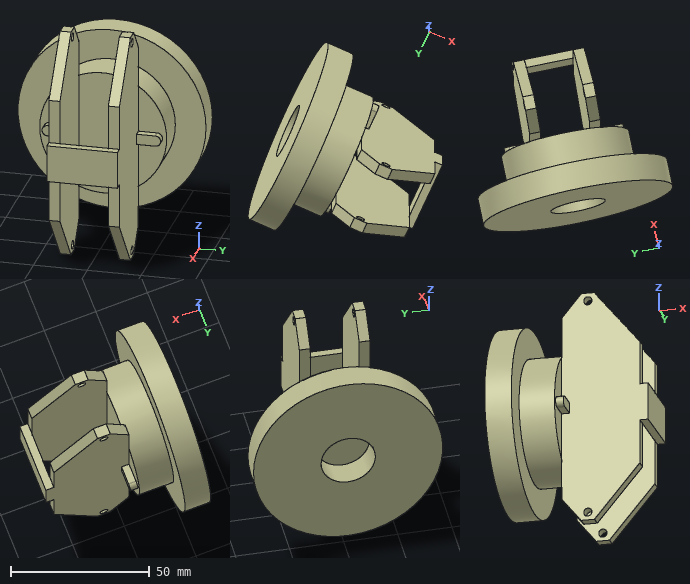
import cadquery as cq

overall_length = 55.43
flange_diameter = 70.0
flange_thickness = 10.0
hub_diameter = 47.2
hub_length = 13.2
bore_diameter = 20.0
bore_depth = 10.0

plate_height = 87.62
plate_thickness = 4.1
plate_outer_width = 26.2
plate_root_half_height = flange_diameter / 2
plate_tip_start = 7.25
plate_tip_length = 5.0
pin_hole_diameter = 3.0
pin_hole_edge_distance = 3.0

bar_thickness = 3.1
bar_height = 14.0

tongue_length = 44.1
tongue_width = 4.0
tongue_height = 2.9

hub_face_x = flange_thickness + hub_length
plate_end_x = overall_length - bar_thickness
plate_half_height = plate_height / 2
plate_end_half_height = hub_diameter / 2
tip_start_x = hub_face_x + plate_tip_start
tip_end_x = tip_start_x + plate_tip_length
pin_hole_x = (tip_start_x + tip_end_x) / 2
pin_hole_z = plate_half_height - pin_hole_edge_distance
plate_gap = plate_outer_width - 2 * plate_thickness


def make_body():
    """Flange and hub with a blind bore in the flange face."""
    flange = cq.Workplane("YZ").circle(flange_diameter / 2).extrude(flange_thickness)
    hub = (
        cq.Workplane("YZ")
        .workplane(offset=flange_thickness)
        .circle(hub_diameter / 2)
        .extrude(hub_length)
    )
    bore = cq.Workplane("YZ").circle(bore_diameter / 2).extrude(bore_depth)
    return flange.union(hub).cut(bore)


def make_plate(outer_y):
    """Eight-sided plate with two pin holes, reaching from outer_y towards -Y."""
    upper_half = [
        (hub_face_x, plate_root_half_height),
        (tip_start_x, plate_half_height),
        (tip_end_x, plate_half_height),
        (plate_end_x, plate_end_half_height),
    ]
    lower_half = [(x, -z) for x, z in reversed(upper_half)]
    plate = (
        cq.Workplane("XZ", origin=(0, outer_y, 0))
        .polyline(upper_half + lower_half)
        .close()
        .extrude(plate_thickness)
    )
    pin_holes = (
        cq.Workplane("XZ", origin=(0, outer_y, 0))
        .pushPoints([(pin_hole_x, pin_hole_z), (pin_hole_x, -pin_hole_z)])
        .circle(pin_hole_diameter / 2)
        .extrude(plate_thickness)
    )
    return plate.cut(pin_holes)


def make_bar():
    """Rectangular bar across the far edges of both plates."""
    return (
        cq.Workplane("YZ")
        .workplane(offset=plate_end_x)
        .rect(plate_outer_width, bar_height)
        .extrude(bar_thickness)
    )


def make_tongue():
    """Round-ended tongue, open across the gap between the plates."""
    face = cq.Workplane("YZ").workplane(offset=hub_face_x)
    tongue = face.slot2D(tongue_length, tongue_width).extrude(tongue_height)
    gap = face.rect(plate_gap, tongue_width).extrude(tongue_height)
    return tongue.cut(gap)


result = make_body().union(make_tongue())
for plate_outer_y in (plate_outer_width / 2, plate_thickness - plate_outer_width / 2):
    result = result.union(make_plate(plate_outer_y))
result = result.union(make_bar())